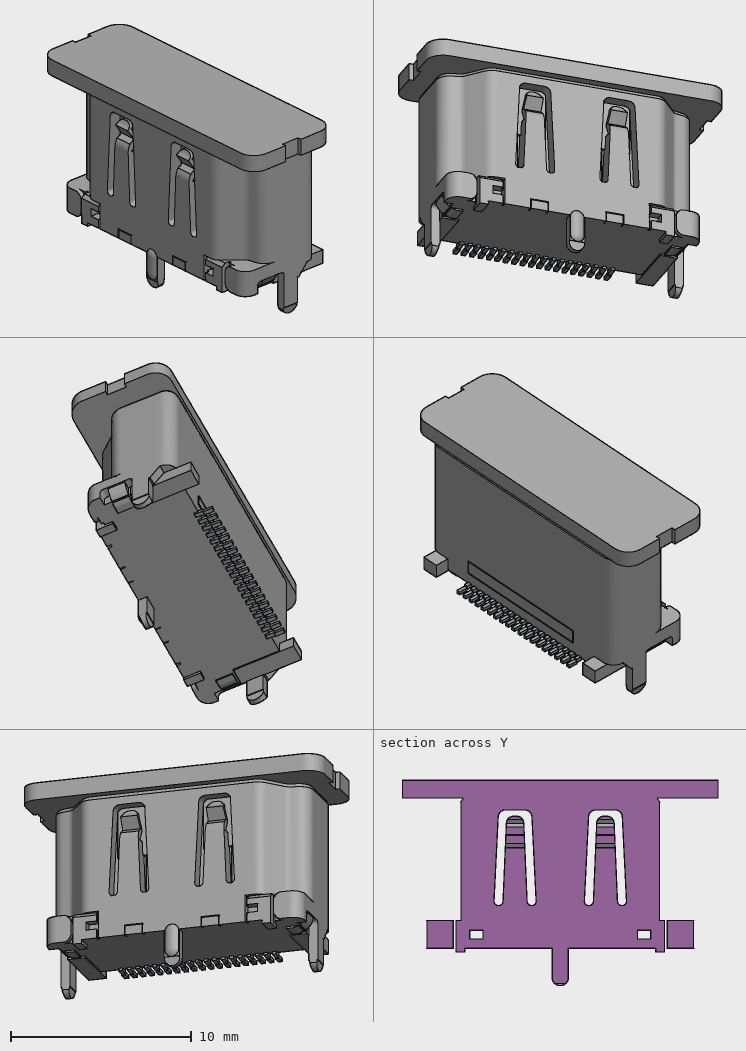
import cadquery as cq
import math


TOTAL_DEPTH = 6.85

CAP_LENGTH = 17.5
CAP_DEPTH = 6.04
CAP_THICKNESS = 1.0
CAP_CORNER_RADIUS = 1.0
CAP_NOTCH_WIDTH = 1.15
CAP_NOTCH_DEPTH = 0.25

HOUSING_HEIGHT = 8.33
HALF_WIDTH = 7.5
FRONT_Y = -2.6
BACK_Y = 2.95
BACK_RADIUS = 0.79
RIM_HEIGHT = 0.21
RIM_INSET = 0.1
SHOULDER_X, SHOULDER_Y = 6.3, -1.22
SIDE_END_Y = -0.95
FRONT_HALF_WIDTH = 5.15
SIDE_RADIUS = 0.8
SHOULDER_RADIUS = 0.52
FRONT_RADIUS = 0.77

TONGUE_X = 2.5
WINDOW_DEPTH = 0.79
WINDOW_BOTTOM, WINDOW_TOP = 2.38, 7.66
WINDOW_HALF_BOTTOM, WINDOW_HALF_TOP = 1.17, 0.91
WINDOW_CORNER_RADIUS = 0.38
SLOT_WIDTH = 0.49
SLOT_END_RADIUS = 0.23
TONGUE_HALF_TOP = 0.47
TONGUE_TOP = 7.33
TONGUE_TIP_RADIUS = 0.42
SHEET = 0.3
BEND_START, BEND_ARC_END = 5.58, 6.05
BEND_BOTTOM, BEND_END = 6.28, 6.93
BEND_ARC_DEPTH = 0.15
BEND_DEPTH = 0.45
TIP_SETBACK = 0.28
TIP_BULGE = 0.05
PLUG_BOTTOM = 4.8
PLUG_HALF_WIDTH = 0.9
PLUG_STEP = 0.09
RECESS_HALF_WIDTH = 0.74

EAR_HEIGHT = 1.55
EAR_FRONT_Y = -2.52
EAR_RADIUS = 0.72
EAR_END_X = 5.92
EAR_END_RADIUS = 0.45
TAB_OUTER_X, TAB_INNER_X = 5.78, 4.41
TAB_BEVEL = 0.21
TAB_RECESS_X = 4.29
GAP_DEPTH = 0.25
TAB_NOTCH_LENGTH = 0.6
TAB_NOTCH_DEPTH = 0.52
TAB_NOTCH_BOTTOM, TAB_NOTCH_TOP = 0.52, 1.0
TOE_WIDTH = 0.49
TOE_DROP = 0.21
TOE_BACK_Y = -1.58

LATCH_X = 2.24
LATCH_WIDTH = 1.07
LATCH_HEIGHT = 0.58
LATCH_GAP = 0.05

LEG_THICKNESS = 0.55
LEG_END = -1.55
TIP_ARC_START = -1.72
TIP_TOP_THICKNESS, TIP_END_THICKNESS = 0.47, 0.3
PART_BOTTOM = -2.06
SIDE_LEG_FRONT_Y, SIDE_LEG_BACK_Y = 0.45, 1.47
FRONT_LEG_WIDTH = 0.9
BEAD_HALF_WIDTH = 0.4
BEAD_HEIGHT = 0.166
BEAD_FLAT_HALF_WIDTH = 0.04
BEAD_TOP, BEAD_BOTTOM = -0.07, -1.15

FOOT_INNER_X, FOOT_OUTER_X = 5.98, 7.0
FOOT_BOTTOM, FOOT_TOP = -0.1, 0.74
FOOT_FRONT_Y = 0.1
TAIL_Y = TOTAL_DEPTH - CAP_DEPTH / 2
SIDE_WINDOW_FRONT_Y = -1.52
SIDE_WINDOW_HEIGHT = 0.7
SIDE_WINDOW_RADIUS = 0.23
LUG_FRONT_Y, LUG_BACK_Y = -1.07, -0.04
LUG_INNER_X, LUG_BOTTOM_X = 6.2, 6.58
LUG_MIDDLE_X, LUG_MIDDLE_Z = 7.12, 0.18
LUG_TOP_X = 7.42
REAR_RIM_Y = 3.01

CONTACT_COUNT = 19
CONTACT_ROW_LENGTH = 8.98
CONTACT_WIDTH = 0.23
CONTACT_CENTRE_X = -0.3
CONTACT_BOTTOM = -0.25
CONTACT_FOOT_TOP = -0.05
CONTACT_BEND_Y = 3.25
CONTACT_ROOT_Y = 2.71
CONTACT_STEP = 0.07
CONTACT_SLOPE_RISE = 0.04


def box(x0, x1, y0, y1, z0, z1):
    return cq.Workplane("XY").box(x1 - x0, y1 - y0, z1 - z0, centered=False).translate((x0, y0, z0))


def front_prism(points, y0, y1):
    """Outline of (x, z) points filled from y0 back to y1."""
    return cq.Workplane("XZ", origin=(0, y0, 0)).polyline(points).close().extrude(y0 - y1)


def side_prism(points, x0, x1):
    """Outline of (y, z) points filled from x0 to x1."""
    return cq.Workplane("YZ", origin=(x0, 0, 0)).polyline(points).close().extrude(x1 - x0)


def both_sides(shape):
    return shape.union(shape.mirror("YZ"))


def make_cap():
    cap = box(-CAP_LENGTH / 2, CAP_LENGTH / 2, -CAP_DEPTH / 2, CAP_DEPTH / 2,
              HOUSING_HEIGHT, HOUSING_HEIGHT + CAP_THICKNESS)
    cap = cap.edges("|Z").fillet(CAP_CORNER_RADIUS)
    notch = box(CAP_LENGTH / 2 - CAP_NOTCH_DEPTH, CAP_LENGTH / 2,
                -CAP_NOTCH_WIDTH / 2, CAP_NOTCH_WIDTH / 2,
                HOUSING_HEIGHT, HOUSING_HEIGHT + CAP_THICKNESS)
    return cap.cut(both_sides(notch))


def make_housing():
    right = [(HALF_WIDTH, BACK_Y), (HALF_WIDTH, SIDE_END_Y),
             (SHOULDER_X, SHOULDER_Y), (FRONT_HALF_WIDTH, FRONT_Y)]
    left = [(-x, y) for x, y in reversed(right)]
    body = cq.Workplane("XY").polyline(right + left).close().extrude(HOUSING_HEIGHT - RIM_HEIGHT)
    radii = (BACK_RADIUS, SIDE_RADIUS, SHOULDER_RADIUS, FRONT_RADIUS)
    for (x, y), radius in zip(right, radii):
        for side in (-1, 1):
            corner = cq.selectors.NearestToPointSelector((side * x, y, HOUSING_HEIGHT / 2))
            body = body.edges("|Z").edges(corner).fillet(radius)
    rim_angle = math.degrees(math.atan2(RIM_INSET, RIM_HEIGHT))
    rim = body.faces(">Z").wires().toPending().workplane().extrude(
        RIM_HEIGHT, taper=rim_angle, combine=False)
    return body.union(rim)


def trapezoid(half_bottom, half_top, top, depth):
    """Tapered slab from the front face inward, standing on the window's lower edge."""
    outline = [(-half_bottom, WINDOW_BOTTOM), (half_bottom, WINDOW_BOTTOM),
               (half_top, top), (-half_top, top)]
    return front_prism(outline, FRONT_Y, FRONT_Y + depth)


def make_tongue_strip(depth):
    strip = trapezoid(WINDOW_HALF_BOTTOM - SLOT_WIDTH, TONGUE_HALF_TOP, TONGUE_TOP, depth)
    return strip.edges("|Y").edges(">Z").fillet(TONGUE_TIP_RADIUS)


def make_window():
    """Two slots joined above the tongue, with the plug and a shallow recess behind."""
    floor_y = FRONT_Y + WINDOW_DEPTH
    full_depth = WINDOW_DEPTH + PLUG_STEP
    opening = trapezoid(WINDOW_HALF_BOTTOM, WINDOW_HALF_TOP, WINDOW_TOP, full_depth)
    opening = opening.edges("|Y").edges(">Z").fillet(WINDOW_CORNER_RADIUS)
    slots = opening.cut(make_tongue_strip(full_depth))
    slots = slots.edges("|Y").edges("<Z").fillet(SLOT_END_RADIUS)
    above_bend = box(-WINDOW_HALF_TOP, WINDOW_HALF_TOP, FRONT_Y, floor_y, BEND_START, WINDOW_TOP)
    slots = slots.union(opening.intersect(above_bend))
    plug = box(-PLUG_HALF_WIDTH, PLUG_HALF_WIDTH, floor_y - PLUG_STEP, floor_y + PLUG_STEP,
               PLUG_BOTTOM, WINDOW_TOP)
    ledge = box(-WINDOW_HALF_BOTTOM, WINDOW_HALF_BOTTOM, floor_y, floor_y + PLUG_STEP,
                WINDOW_BOTTOM, WINDOW_TOP)
    recess = box(-RECESS_HALF_WIDTH, RECESS_HALF_WIDTH, floor_y, floor_y + PLUG_STEP,
                 WINDOW_BOTTOM, PLUG_BOTTOM)
    return slots.cut(plug).cut(ledge.cut(recess))


def make_tongue():
    """Upper part of the tongue: a strip that bends inward and returns to a curled tip."""
    root_z = BEND_START - SHEET
    bent = (cq.Workplane("YZ", origin=(-WINDOW_HALF_BOTTOM, FRONT_Y, 0))
            .moveTo(0, root_z).lineTo(0, BEND_START)
            .tangentArcPoint((BEND_ARC_DEPTH, BEND_ARC_END), relative=False)
            .lineTo(BEND_DEPTH, BEND_BOTTOM).lineTo(0, BEND_END)
            .sagittaArc((TIP_SETBACK, TONGUE_TOP), -TIP_BULGE)
            .lineTo(TIP_SETBACK + SHEET, TONGUE_TOP).lineTo(SHEET, BEND_END)
            .lineTo(BEND_DEPTH + SHEET, BEND_BOTTOM).lineTo(SHEET, BEND_START)
            .lineTo(SHEET, root_z)
            .close().extrude(2 * WINDOW_HALF_BOTTOM))
    return bent.intersect(make_tongue_strip(WINDOW_DEPTH))


def make_ear():
    """Right-hand corner block, rounded at its corner and at its inner end."""
    ear = box(EAR_END_X, HALF_WIDTH, EAR_FRONT_Y, 0, 0, EAR_HEIGHT)
    ear = ear.edges("|Z").edges(">X and <Y").fillet(EAR_RADIUS)
    end_cap = box(EAR_END_X, HALF_WIDTH, EAR_FRONT_Y, EAR_FRONT_Y + SHEET, 0, EAR_HEIGHT)
    end_cap = end_cap.edges("|Y and <X").fillet(EAR_END_RADIUS)
    behind = box(EAR_END_X, HALF_WIDTH, EAR_FRONT_Y + SHEET, 0, 0, EAR_HEIGHT)
    ear = ear.intersect(end_cap.union(behind))
    filler = box(TAB_RECESS_X, EAR_END_X, FRONT_Y + GAP_DEPTH, 0, 0, EAR_HEIGHT)
    return ear.union(filler)


def make_tab():
    """Right-hand front tab with a bevelled top and a toe below the housing."""
    tab = box(TAB_INNER_X, TAB_OUTER_X, FRONT_Y, FRONT_Y + GAP_DEPTH, 0, EAR_HEIGHT)
    tab = tab.edges("|X").edges(">Z and <Y").chamfer(TAB_BEVEL)
    toe = box(TAB_OUTER_X - TOE_WIDTH, TAB_OUTER_X, FRONT_Y, TOE_BACK_Y, -TOE_DROP, EAR_HEIGHT / 2)
    return tab.union(toe)


def make_tab_notch():
    """Notch in the inner end of the right-hand tab."""
    return box(TAB_RECESS_X, TAB_INNER_X + TAB_NOTCH_LENGTH, FRONT_Y, FRONT_Y + TAB_NOTCH_DEPTH,
               TAB_NOTCH_BOTTOM, TAB_NOTCH_TOP)


def make_latch_gap():
    """Narrow gap above and outside the right-hand latch."""
    left, right = LATCH_X - LATCH_WIDTH / 2, LATCH_X + LATCH_WIDTH / 2
    notch = box(left, right, FRONT_Y, FRONT_Y + SHEET, 0, LATCH_HEIGHT)
    latch = box(left + LATCH_GAP / 2, right - LATCH_GAP, FRONT_Y, FRONT_Y + SHEET,
                0, LATCH_HEIGHT - LATCH_GAP)
    return notch.cut(latch)


def make_leg(width, top):
    """Leg centred on X = 0, Y = 0, wide along X, with a rounded and tapered tip."""
    blade = box(-width / 2, width / 2, -LEG_THICKNESS / 2, LEG_THICKNESS / 2, LEG_END, top)
    tip_outline = (cq.Workplane("XZ", origin=(0, LEG_THICKNESS / 2, 0))
                   .moveTo(-width / 2, LEG_END).lineTo(-width / 2, TIP_ARC_START)
                   .threePointArc((0, PART_BOTTOM), (width / 2, TIP_ARC_START))
                   .lineTo(width / 2, LEG_END)
                   .close().extrude(LEG_THICKNESS))
    half_top, half_end = TIP_TOP_THICKNESS / 2, TIP_END_THICKNESS / 2
    taper = side_prism([(-half_top, LEG_END), (half_top, LEG_END),
                        (half_end, PART_BOTTOM), (-half_end, PART_BOTTOM)], -width / 2, width / 2)
    return blade.union(tip_outline.intersect(taper))


def make_front_leg():
    leg = make_leg(FRONT_LEG_WIDTH, SHEET).translate((0, FRONT_Y + LEG_THICKNESS / 2, 0))
    radius = (BEAD_HALF_WIDTH ** 2 + BEAD_HEIGHT ** 2) / (2 * BEAD_HEIGHT)
    axis_y = FRONT_Y - BEAD_HEIGHT + radius
    bead = cq.Workplane("XY", origin=(0, axis_y, BEAD_BOTTOM)).circle(radius)
    bead = bead.extrude(BEAD_TOP - BEAD_BOTTOM)
    for z in (BEAD_TOP, BEAD_BOTTOM):
        bead = bead.union(cq.Workplane("XY", origin=(0, axis_y, z)).sphere(radius))
    crest_y = axis_y - math.sqrt(radius ** 2 - BEAD_FLAT_HALF_WIDTH ** 2)
    raised = box(-radius, radius, crest_y, FRONT_Y + BEAD_HEIGHT / 10,
                 BEAD_BOTTOM - radius, BEAD_TOP + radius)
    return leg.union(bead.intersect(raised))


def make_side_leg():
    leg = make_leg(SIDE_LEG_BACK_Y - SIDE_LEG_FRONT_Y, FOOT_TOP)
    leg = leg.rotate((0, 0, 0), (0, 0, 1), 90)
    return leg.translate((HALF_WIDTH - LEG_THICKNESS / 2, (SIDE_LEG_FRONT_Y + SIDE_LEG_BACK_Y) / 2, 0))


def make_side_window():
    """Recess under the right-hand side wall, in front of the leg."""
    window = box(HALF_WIDTH - LEG_THICKNESS, HALF_WIDTH, SIDE_WINDOW_FRONT_Y, SIDE_LEG_FRONT_Y,
                 0, SIDE_WINDOW_HEIGHT)
    return window.edges("|X and >Z").fillet(SIDE_WINDOW_RADIUS)


def make_lug():
    """Lug with a curved outer face inside the right-hand side window."""
    return (cq.Workplane("XZ", origin=(0, LUG_BACK_Y, 0))
            .moveTo(LUG_INNER_X, FOOT_BOTTOM).lineTo(LUG_BOTTOM_X, FOOT_BOTTOM)
            .threePointArc((LUG_MIDDLE_X, LUG_MIDDLE_Z), (LUG_TOP_X, SIDE_WINDOW_HEIGHT))
            .lineTo(LUG_INNER_X, SIDE_WINDOW_HEIGHT).close().extrude(LUG_BACK_Y - LUG_FRONT_Y))


def make_corner_relief():
    """Space below the right-hand rear corner, sloping down to the side leg."""
    profile = [(SIDE_LEG_BACK_Y, FOOT_BOTTOM), (BACK_Y - BACK_RADIUS, FOOT_TOP),
               (BACK_Y, FOOT_TOP), (BACK_Y, FOOT_BOTTOM)]
    return side_prism(profile, FOOT_OUTER_X, HALF_WIDTH)


def make_contact():
    root_z = CONTACT_BOTTOM + CONTACT_STEP
    profile = [(TAIL_Y, CONTACT_BOTTOM), (TAIL_Y, CONTACT_FOOT_TOP),
               (CONTACT_BEND_Y, CONTACT_FOOT_TOP), (CONTACT_BEND_Y, CONTACT_STEP),
               (CONTACT_ROOT_Y, CONTACT_STEP), (CONTACT_ROOT_Y, root_z + CONTACT_SLOPE_RISE),
               (CONTACT_BEND_Y, root_z), (CONTACT_BEND_Y, CONTACT_BOTTOM)]
    return side_prism(profile, -CONTACT_WIDTH / 2, CONTACT_WIDTH / 2)


housing = make_housing()

front_relief = box(TAB_RECESS_X, HALF_WIDTH, FRONT_Y, FRONT_Y + GAP_DEPTH, 0, EAR_HEIGHT)
housing = housing.cut(both_sides(front_relief))
housing = housing.union(both_sides(make_ear())).union(both_sides(make_tab()))

for x in (-TONGUE_X, TONGUE_X):
    housing = housing.cut(make_window().translate((x, 0, 0)))
    housing = housing.union(make_tongue().translate((x, 0, 0)))

tab_gap = box(TAB_OUTER_X, EAR_END_X, FRONT_Y, FRONT_Y + TAB_NOTCH_DEPTH, 0, EAR_HEIGHT)
for opening in (tab_gap, make_tab_notch(), make_latch_gap(), make_side_window(), make_corner_relief()):
    housing = housing.cut(both_sides(opening))

foot = box(FOOT_INNER_X, FOOT_OUTER_X, FOOT_FRONT_Y, TAIL_Y, FOOT_BOTTOM, FOOT_TOP)
for feature in (foot, make_side_leg(), make_lug()):
    housing = housing.union(both_sides(feature))
housing = housing.union(make_front_leg())
housing = housing.union(box(-TAB_RECESS_X, TAB_RECESS_X, 0, REAR_RIM_Y, FOOT_TOP, EAR_HEIGHT))

for index in range(CONTACT_COUNT):
    offset = CONTACT_ROW_LENGTH * (index / (CONTACT_COUNT - 1) - 0.5)
    housing = housing.union(make_contact().translate((CONTACT_CENTRE_X + offset, 0, 0)))

result = housing.union(make_cap())